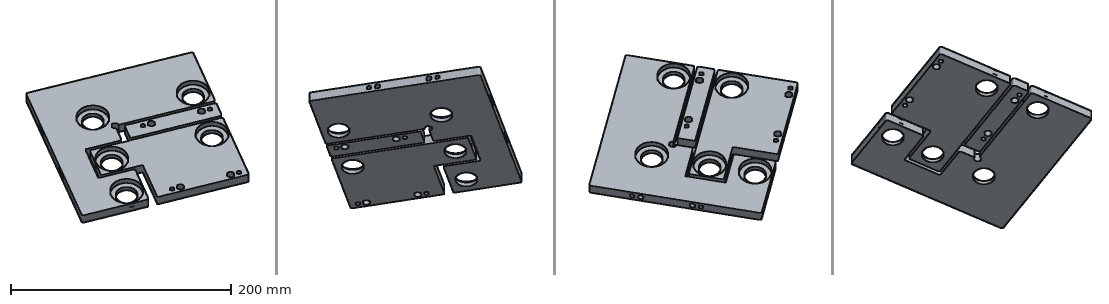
import cadquery as cq
import math

side = 160.0
thickness = 10.0
gap = 2.5
corner_radius = 2.0
small_radius = 1.3

wall_x = 64.0
ledge_y = 64.0
slot_floor_y = 29.0
relief_diameter = 6.5

strip_left = wall_x + gap
strip_right = 83.0
strip_bottom = 72.2

plate_left = strip_right + gap
tongue_width = 32.5
tongue_right = plate_left + tongue_width
tongue_bottom = 32.3
slot_left = strip_right
slot_right = tongue_right + gap

bore_diameter = 20.0
counterbore_diameter = 30.0
counterbore_depth = 5.5
near_row = 48.0
far_row = 144.0
tongue_center_x = (plate_left + tongue_right) / 2

screw_diameter = 6.5
dowel_diameter = 4.0
dowel_offset = 8.0
upper_screw_y = far_row
lower_screw_y = 96.0
strip_holes_x = 72.0
plate_holes_x = 154.7

edge_screw_diameter = 5.0
edge_screw_places = (48.0, 96.0)
edge_hole_depth = 16.0
drill_point_angle = 118.0


def box(left, right, bottom, top):
    """Full-thickness block between the given X and Y limits."""
    return (
        cq.Workplane("XY")
        .box(right - left, top - bottom, thickness, centered=False)
        .translate((left, bottom, 0))
    )


def round_corners(body, points, radius):
    """Round the vertical edges at the given XY points."""
    middle = thickness / 2
    for x, y in points:
        edge = body.edges(cq.selectors.NearestToPointSelector((x, y, middle)))
        body = edge.fillet(radius)
    return body


def cut_counterbores(body, points):
    return (
        body.faces(">Z")
        .workplane(origin=(0, 0, thickness))
        .pushPoints(points)
        .cboreHole(bore_diameter, counterbore_diameter, counterbore_depth)
    )


def through_holes(diameter, points):
    return cq.Workplane("XY").pushPoints(points).circle(diameter / 2).extrude(thickness)


def cut_hole_pairs(body, x):
    """Cut two screw holes and the two dowel holes beyond them, along one column."""
    screws = [(x, lower_screw_y), (x, upper_screw_y)]
    dowels = [(x, lower_screw_y - dowel_offset), (x, upper_screw_y + dowel_offset)]
    screw_holes = through_holes(screw_diameter, screws)
    dowel_holes = through_holes(dowel_diameter, dowels)
    return body.cut(screw_holes).cut(dowel_holes)


def drilled_hole(diameter, start, direction):
    """Blind hole with a conical drill point."""
    radius = diameter / 2
    point_length = radius / math.tan(math.radians(drill_point_angle / 2))
    origin = cq.Vector(*start)
    axis = cq.Vector(*direction)
    barrel = cq.Solid.makeCylinder(radius, edge_hole_depth, origin, axis)
    point = cq.Solid.makeCone(radius, 0, point_length, origin + axis * edge_hole_depth, axis)
    return barrel.fuse(point)


def cut_edge_holes(body):
    """Drill the same row of holes into the front (-Y) and left (-X) edges."""
    first, last = edge_screw_places
    dowel_places = (first - dowel_offset, last + dowel_offset)
    middle = thickness / 2
    for diameter, places in ((edge_screw_diameter, edge_screw_places), (dowel_diameter, dowel_places)):
        for place in places:
            body = body.cut(drilled_hole(diameter, (place, 0, middle), (0, 1, 0)))
            body = body.cut(drilled_hole(diameter, (0, place, middle), (1, 0, 0)))
    return body


def make_base():
    base = box(0, side, 0, side)
    base = base.cut(box(wall_x, side, ledge_y, side))
    base = base.cut(box(slot_left, slot_right, slot_floor_y, ledge_y))
    outer_corners = [(0, 0), (side, 0), (0, side), (wall_x, side), (side, ledge_y)]
    slot_mouth = [(slot_left, ledge_y), (slot_right, ledge_y)]
    slot_floor = [(slot_left, slot_floor_y), (slot_right, slot_floor_y)]
    base = round_corners(base, outer_corners + slot_mouth, corner_radius)
    base = round_corners(base, slot_floor, small_radius)
    base = base.cut(through_holes(relief_diameter, [(wall_x, ledge_y)]))
    bores = [(near_row, near_row), (near_row, far_row), (far_row, near_row)]
    base = cut_counterbores(base, bores)
    return cut_edge_holes(base)


def make_strip():
    strip = box(strip_left, strip_right, strip_bottom, side)
    strip = round_corners(strip, [(strip_left, side), (strip_right, side)], corner_radius)
    lower_corners = [(strip_left, strip_bottom), (strip_right, strip_bottom)]
    strip = round_corners(strip, lower_corners, small_radius)
    return cut_hole_pairs(strip, strip_holes_x)


def make_stepped_plate():
    plate = box(plate_left, side, strip_bottom, side)
    plate = plate.union(box(plate_left, tongue_right, tongue_bottom, side)).clean()
    plate = round_corners(plate, [(plate_left, side), (side, side)], corner_radius)
    tongue_corners = [(plate_left, tongue_bottom), (tongue_right, tongue_bottom)]
    step_corners = [(tongue_right, strip_bottom), (side, strip_bottom)]
    plate = round_corners(plate, tongue_corners + step_corners, small_radius)
    plate = cut_counterbores(plate, [(tongue_center_x, near_row), (tongue_center_x, far_row)])
    return cut_hole_pairs(plate, plate_holes_x)


base = make_base()
strip = make_strip()
stepped_plate = make_stepped_plate()

result = cq.Compound.makeCompound([base.val(), strip.val(), stepped_plate.val()])